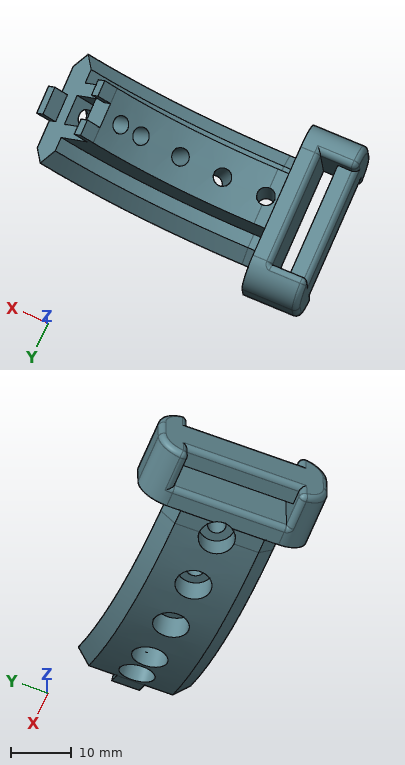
import cadquery as cq
import math


inner_radius = 45.0
arm_height = 14.05
outer_radius = inner_radius + arm_height
joint_angle = 40.0
loop_angle = 2.5

web_width = 10.0
web_height = 8.95
rail_width = 20.0
rail_bevel = 2.55

loop_width = 30.0
loop_length = 10.0
loop_corner_radius = 5.05
strap_width = 20.0
slot_length = 3.0
bar_length = (loop_length - slot_length) / 2
back_length = loop_length - slot_length - bar_length
bar_recess = 3.0
edge_radius = 1.0

hole_diameter = 3.05
counterbore_diameter = 6.1
radial_hole_angles = [0, 10, 20, 30]
radial_counterbore_depth = 4.25
end_hole_setback = 3.55
end_counterbore_depth = 3.0

tab_length = 2.95
tab_thickness = 1.8
lower_tab_width = 4.95
upper_tab_gap = 4.4
upper_tab_width = (web_width - upper_tab_gap) / 2
socket_size = 5.3
socket_depth = 6.0


def turn(shape, angle):
    """Swing a shape about the bend axis, moving it up the arm for positive angles."""
    return shape.rotate((0, 0, 0), (0, 1, 0), -angle)


def block(length, width, height, x_start, y_center, z_bottom):
    """Box placed by its low X end, its middle in Y and its bottom."""
    box = cq.Workplane("XY").box(length, width, height, centered=(False, True, False))
    return box.translate((x_start, y_center, z_bottom))


def arm_section():
    """Closed outline of the arm across its length, below the bend axis."""
    web_half = web_width / 2
    rail_half = rail_width / 2
    flat_half = rail_half - rail_bevel
    top = -inner_radius
    rail_top = top - web_height
    bottom = -outer_radius
    half_section = [
        (0, top),
        (web_half, top),
        (web_half, rail_top),
        (flat_half, rail_top),
        (rail_half, (rail_top + bottom) / 2),
        (flat_half, bottom),
        (0, bottom),
    ]
    other_half = [(-y, z) for y, z in reversed(half_section[1:-1])]
    return cq.Workplane("YZ").polyline(half_section + other_half).close()


def make_arm():
    """Bend of the arm, plus the short straight stretch that runs into the loop."""
    bend = arm_section().revolve(joint_angle, (0, 0), (-1, 0))
    straight_length = outer_radius * math.sin(math.radians(loop_angle))
    straight = arm_section().extrude(-straight_length)
    return bend.union(straight)


def slot_rim_at(z):
    """Selector for the three edges where the slot and bar recess break out at height z."""
    margin = 0.025
    low_corner = (margin - loop_length, -strap_width / 2 - margin, z - margin)
    high_corner = (margin - back_length, strap_width / 2 + margin, z + margin)
    return cq.selectors.BoxSelector(low_corner, high_corner)


def make_loop():
    """Rounded strap loop with a recessed bar, tipped to follow the bend."""
    body = block(loop_length, loop_width, arm_height, -loop_length, 0, -outer_radius)
    body = body.edges("|X").fillet(loop_corner_radius)
    slot_start = -back_length - slot_length
    body = body.cut(block(slot_length, strap_width, arm_height, slot_start, 0, -outer_radius))
    for recess_bottom in (-outer_radius, -inner_radius - bar_recess):
        recess = block(bar_length, strap_width, bar_recess, -loop_length, 0, recess_bottom)
        body = body.cut(recess)

    rounded = body.faces("<X").edges()
    for z in (-inner_radius, -outer_radius):
        rounded = rounded.add(body.edges(slot_rim_at(z)))
    body = body.newObject(rounded.vals()).fillet(edge_radius)
    return turn(body, -loop_angle)


def make_joint_tabs():
    """Tabs on the far end: one along the underside and a pair along the top of the web."""
    tabs = block(tab_length, lower_tab_width, tab_thickness, 0, 0, -outer_radius)
    upper_tab_bottom = -inner_radius - tab_thickness
    upper_tab_center = (upper_tab_gap + upper_tab_width) / 2
    for y in (-upper_tab_center, upper_tab_center):
        tabs = tabs.union(block(tab_length, upper_tab_width, tab_thickness, 0, y, upper_tab_bottom))
    return turn(tabs, joint_angle)


def make_socket():
    """Square blind pocket sunk into the middle of the far end face."""
    socket_bottom = -(inner_radius + outer_radius + socket_size) / 2
    pocket = block(socket_depth, socket_size, socket_size, -socket_depth, 0, socket_bottom)
    return turn(pocket, joint_angle)


def screw_cutter(counterbore_depth):
    """Vertical screw hole through the arm at the low point of the bend."""
    shank = cq.Workplane("XY").circle(hole_diameter / 2).extrude(-outer_radius)
    head_seat = cq.Workplane("XY").workplane(offset=counterbore_depth - outer_radius)
    head = head_seat.circle(counterbore_diameter / 2).extrude(-arm_height)
    return shank.union(head)


result = make_arm().union(make_loop()).union(make_joint_tabs()).cut(make_socket())
for angle in radial_hole_angles:
    result = result.cut(turn(screw_cutter(radial_counterbore_depth), angle))

end_screw = screw_cutter(end_counterbore_depth).translate((-end_hole_setback, 0, 0))
result = result.cut(turn(end_screw, joint_angle))